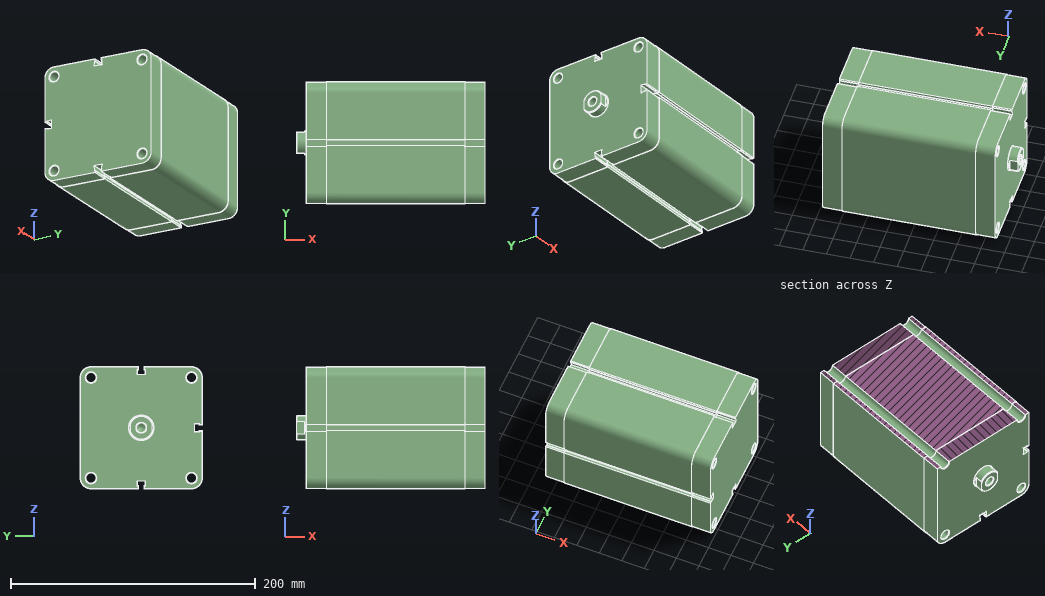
import cadquery as cq
import math

LENGTH = 154.5
ROD_PROTRUSION = 8.0
CAP_LENGTH = 16.5
TUBE_LENGTH = LENGTH - ROD_PROTRUSION - 2 * CAP_LENGTH

TUBE_WIDTH = 100.0
TUBE_OVERHANG = 0.3
CORNER_CENTRE = 41.1
CAP_WIDTH = TUBE_WIDTH - 2 * TUBE_OVERHANG

BOLT_HOLE_DIAMETER = 8.5
BOLT_HOLE_POSITIONS = [
    (y, z)
    for y in (-CORNER_CENTRE, CORNER_CENTRE)
    for z in (-CORNER_CENTRE, CORNER_CENTRE)
]
HOLE_CHAMFER = 0.5

TUBE_SLOT_MOUTH_WIDTH = 4.8
TUBE_SLOT_LIP_WIDTH = 5.7
TUBE_SLOT_FLOOR_WIDTH = 6.3
SLOT_CLEARANCE = 0.5
SLOT_FLOOR = 43.5
TUBE_SLOT_LIP = 47.3
SLOT_ANGLES = (0, 90, 180)

ROD_DIAMETER = 20.0
ROD_TIP_CHAMFER = 0.6
ROD_FLATS_WIDTH = 17.3
ROD_FLATS_LENGTH = 6.6
ROD_FLATS_RUNOUT = 0.5
ROD_BORE_DIAMETER = 8.0
ROD_BORE_DEPTH = 18.5
DRILL_POINT_ANGLE = 118.0


def rounded_block(start, length, width):
    """Square bar along X with corner arcs about the shared corner centres."""
    corner_radius = width / 2 - CORNER_CENTRE
    return (
        cq.Workplane("YZ", origin=(start, 0, 0))
        .rect(width, width)
        .extrude(length)
        .edges("|X")
        .fillet(corner_radius)
    )


def slot_cutter(start, length, clearance):
    """T-slot with spreading walls in the +Z side, running along X."""
    mouth = TUBE_SLOT_MOUTH_WIDTH / 2 + clearance
    lip = TUBE_SLOT_LIP_WIDTH / 2 + clearance
    floor = TUBE_SLOT_FLOOR_WIDTH / 2 + clearance
    lip_height = TUBE_SLOT_LIP + clearance
    right_side = [
        (floor, SLOT_FLOOR),
        (lip, lip_height),
        (mouth, lip_height),
        (mouth, TUBE_WIDTH / 2),
    ]
    left_side = [(-y, z) for y, z in reversed(right_side)]
    return cq.Workplane("YZ", origin=(start, 0, 0)).polyline(right_side + left_side).close().extrude(length)


def cut_slots(body, cutter):
    for angle in SLOT_ANGLES:
        body = body.cut(cutter.rotate((0, 0, 0), (1, 0, 0), angle))
    return body


def cut_bolt_holes(body, start, length):
    holes = (
        cq.Workplane("YZ", origin=(start, 0, 0))
        .pushPoints(BOLT_HOLE_POSITIONS)
        .circle(BOLT_HOLE_DIAMETER / 2)
        .extrude(length)
    )
    return body.cut(holes)


def make_section(start, length, width, slot_clearance):
    """Block with three T-slots and four bolt holes, common to the tube and the caps."""
    body = rounded_block(start, length, width)
    body = cut_slots(body, slot_cutter(start, length, slot_clearance))
    return cut_bolt_holes(body, start, length)


def countersink(x, diameter, direction):
    """Cone that chamfers a hole on the X axis; direction is +1 or -1, pointing into the body."""
    mouth_radius = diameter / 2 + HOLE_CHAMFER
    return cq.Solid.makeCone(
        mouth_radius, 0, mouth_radius, pnt=cq.Vector(x, 0, 0), dir=cq.Vector(direction, 0, 0)
    )


def make_tube():
    return make_section(ROD_PROTRUSION + CAP_LENGTH, TUBE_LENGTH, TUBE_WIDTH, 0)


def make_cap(start, outer_face, inward):
    """Cap with bolt holes chamfered at outer_face; inward is the X direction (+1 or -1) into the cap."""
    cap = make_section(start, CAP_LENGTH, CAP_WIDTH, SLOT_CLEARANCE)
    bolt_countersink = countersink(outer_face, BOLT_HOLE_DIAMETER, inward)
    for y, z in BOLT_HOLE_POSITIONS:
        cap = cap.cut(cq.Workplane(bolt_countersink.translate(cq.Vector(0, y, z))))
    return cap


def make_front_cap():
    """Cap with a chamfered hole for the rod."""
    rod_hole = cq.Workplane("YZ", origin=(ROD_PROTRUSION, 0, 0)).circle(ROD_DIAMETER / 2).extrude(CAP_LENGTH)
    cap = make_cap(ROD_PROTRUSION, ROD_PROTRUSION, 1).cut(rod_hole)
    return cap.cut(cq.Workplane(countersink(ROD_PROTRUSION, ROD_DIAMETER, 1)))


def make_rear_cap():
    return make_cap(LENGTH - CAP_LENGTH, LENGTH, -1)


def make_rod():
    """Rod from its tip to the inner face of the front cap, with two wrench flats and a drilled bore."""
    rod_length = ROD_PROTRUSION + CAP_LENGTH
    rod = (
        cq.Workplane("YZ")
        .circle(ROD_DIAMETER / 2)
        .extrude(rod_length)
        .faces("<X")
        .chamfer(ROD_TIP_CHAMFER)
    )
    flat_y = ROD_FLATS_WIDTH / 2
    rod_radius = ROD_DIAMETER / 2
    flat = (
        cq.Workplane("XY")
        .polyline([
            (0, flat_y),
            (ROD_FLATS_LENGTH, flat_y),
            (ROD_FLATS_LENGTH + ROD_FLATS_RUNOUT, rod_radius),
            (0, rod_radius),
        ])
        .close()
        .extrude(rod_radius, both=True)
    )
    rod = rod.cut(flat).cut(flat.mirror("XZ"))

    bore_radius = ROD_BORE_DIAMETER / 2
    point_length = bore_radius / math.tan(math.radians(DRILL_POINT_ANGLE / 2))
    bore = (
        cq.Workplane("XY")
        .polyline([
            (0, 0),
            (0, bore_radius),
            (ROD_BORE_DEPTH, bore_radius),
            (ROD_BORE_DEPTH + point_length, 0),
        ])
        .close()
        .revolve(360, (0, 0, 0), (1, 0, 0))
    )
    return rod.cut(bore).cut(cq.Workplane(countersink(0, ROD_BORE_DIAMETER, 1)))


tube = make_tube()
front_cap = make_front_cap()
rear_cap = make_rear_cap()
rod = make_rod()

result = cq.Compound.makeCompound([tube.val(), front_cap.val(), rear_cap.val(), rod.val()])